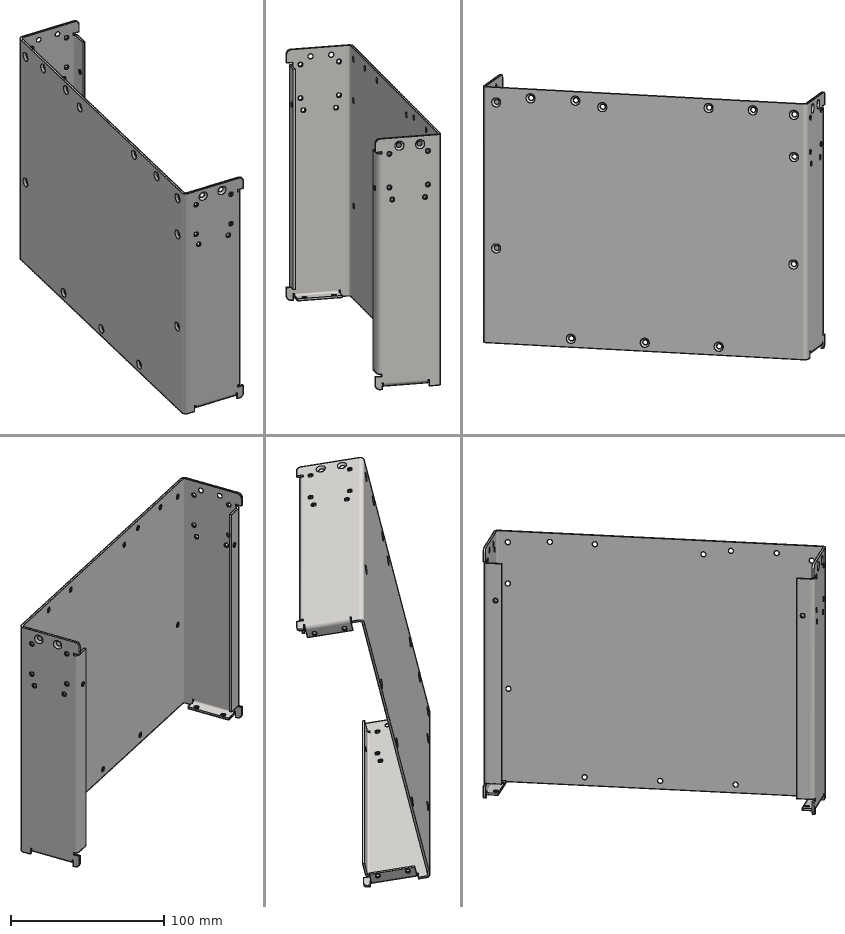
import cadquery as cq
import math

WIDTH = 219.2
DEPTH = 44.5
HEIGHT = 170.0

SHEET = 1.5
INNER_BEND = 1.3
OUTER_BEND = INNER_BEND + SHEET

LIP_REACH = 11.8
LIP_HEIGHT = 149.5
LIP_SETBACK = 1.5
EAR_HEIGHT = 8.8
EAR_RADIUS = 3.0

TAB_REACH = 9.0
TAB_LENGTH = 30.3
TAB_CENTER_Y = 1.8
TAB_SETBACK = 1.5
TAB_RELIEF = 0.9

CLEARANCE_DIAMETER = 3.3
COUNTERSINK_DIAMETER = 6.1
TAPPED_DIAMETER = 2.6
LEAD_IN_DIAMETER = 3.3
CONE_ANGLE = 90
DRILL_DEPTH = 2 * SHEET

TOP_ROW_Z = 79.1
BOTTOM_ROW_Z = -79.4
BOTTOM_ROW_PITCH = 50.0
PANEL_HOLES = [
    (-100.5, 75.2),
    (-77.2, TOP_ROW_Z),
    (-47.0, TOP_ROW_Z),
    (-28.7, 75.8),
    (43.2, TOP_ROW_Z),
    (73.0, TOP_ROW_Z),
    (100.8, 77.5),
    (100.8, 49.5),
    (-100.5, -22.0),
    (100.5, -22.0),
    (-BOTTOM_ROW_PITCH, BOTTOM_ROW_Z),
    (0, BOTTOM_ROW_Z),
    (BOTTOM_ROW_PITCH, BOTTOM_ROW_Z),
]

WALL_COUNTERSINKS = [(6.1, 79.5), (-8.0, 79.5)]
WALL_TAPPED_HOLES = [
    (13.0, 74.5),
    (-13.2, 74.5),
    (13.0, 51.7),
    (-13.2, 51.7),
    (11.0, 43.5),
    (-11.2, 43.5),
]

TAB_HOLE_X = 6.5
TAB_HOLE_YS = [11.6, -8.3]
LIP_HOLE_X = 8.0
LIP_HOLE_Z = 49.8

SIDE_X = WIDTH / 2
REAR_Y = DEPTH / 2
BOTTOM_Z = -HEIGHT / 2
LIP_BEND_Y = REAR_Y - LIP_SETBACK - OUTER_BEND
TAB_BEND_Z = BOTTOM_Z + TAB_SETBACK + OUTER_BEND


def block(x_range, y_range, z_range):
    """Box given by its low and high limits along each axis."""
    size = [high - low for low, high in (x_range, y_range, z_range)]
    corner = (x_range[0], y_range[0], z_range[0])
    return cq.Workplane("XY").box(*size, centered=False).translate(corner)


def bent_channel():
    """U-shaped channel: front panel with a wall folded back on each side."""
    outer = block((-SIDE_X, SIDE_X), (-REAR_Y, REAR_Y), (BOTTOM_Z, -BOTTOM_Z))
    outer = outer.edges("|Z and <Y").fillet(OUTER_BEND)
    inner = block(
        (-SIDE_X + SHEET, SIDE_X - SHEET),
        (-REAR_Y + SHEET, REAR_Y + SHEET),
        (BOTTOM_Z, -BOTTOM_Z),
    )
    inner = inner.edges("|Z and <Y").fillet(INNER_BEND)
    return outer.cut(inner)


def trim_walls(channel):
    """Round the rear ears and cut the clearances around the lips and tabs."""
    channel = channel.edges("|X and >Y").fillet(EAR_RADIUS)
    ear_z = HEIGHT / 2 - EAR_HEIGHT
    lip_notch = block((-SIDE_X, SIDE_X), (LIP_BEND_Y, REAR_Y), (-ear_z, ear_z))
    notch_half = TAB_LENGTH / 2 + TAB_RELIEF
    tab_notch = block(
        (-SIDE_X, SIDE_X),
        (TAB_CENTER_Y - notch_half, TAB_CENTER_Y + notch_half),
        (BOTTOM_Z, TAB_BEND_Z),
    )
    return channel.cut(lip_notch).cut(tab_notch)


def folded_flange(plane, reach, length):
    """Quarter bend and flat strip, starting at the origin on the wall's outer face.

    The wall ends on the local x axis, the strip runs along +x, the fold goes toward
    +y and the section is extruded symmetrically over its length.
    """
    mid = math.sqrt(0.5)
    return (
        cq.Workplane(plane)
        .threePointArc((OUTER_BEND * (1 - mid), OUTER_BEND * mid), (OUTER_BEND, OUTER_BEND))
        .lineTo(reach, OUTER_BEND)
        .lineTo(reach, INNER_BEND)
        .lineTo(OUTER_BEND, INNER_BEND)
        .threePointArc((OUTER_BEND - INNER_BEND * mid, INNER_BEND * mid), (SHEET, 0))
        .close()
        .extrude(length / 2, both=True)
    )


def tapped_hole_cutter(origin, normal):
    """Hole through one sheet thickness, widened by a lead-in cone at both faces.

    The origin is the center of the hole on one face and the normal points into the sheet.
    """
    lead_in = (LEAD_IN_DIAMETER - TAPPED_DIAMETER) / 2
    section = [
        (0, 0),
        (LEAD_IN_DIAMETER / 2, 0),
        (TAPPED_DIAMETER / 2, lead_in),
        (TAPPED_DIAMETER / 2, SHEET - lead_in),
        (LEAD_IN_DIAMETER / 2, SHEET),
        (0, SHEET),
    ]
    cutter = cq.Workplane("XZ").polyline(section).close().revolve(360, (0, 0), (0, 1))
    return cq.Workplane(cutter.val().moved(cq.Plane(origin=origin, normal=normal).location))


def left_lip():
    """Rear lip of the left wall with its tapped hole."""
    plane = cq.Plane(origin=(-SIDE_X, LIP_BEND_Y, 0), xDir=(1, 0, 0), normal=(0, 0, 1))
    lip = folded_flange(plane, LIP_REACH, LIP_HEIGHT)
    hole_center = (-SIDE_X + LIP_HOLE_X, REAR_Y - LIP_SETBACK, LIP_HOLE_Z)
    return lip.cut(tapped_hole_cutter(hole_center, (0, -1, 0)))


def left_tab():
    """Bottom tab of the left wall with its two tapped holes."""
    plane = cq.Plane(origin=(-SIDE_X, TAB_CENTER_Y, TAB_BEND_Z), xDir=(1, 0, 0), normal=(0, 1, 0))
    tab = folded_flange(plane, TAB_REACH, TAB_LENGTH)
    for y in TAB_HOLE_YS:
        hole_center = (-SIDE_X + TAB_HOLE_X, y, BOTTOM_Z + TAB_SETBACK)
        tab = tab.cut(tapped_hole_cutter(hole_center, (0, 0, 1)))
    return tab


def drill_panel(body):
    """Countersunk holes entering the front panel from outside."""
    return (
        body.copyWorkplane(cq.Workplane("XZ", origin=(0, -REAR_Y, 0)))
        .pushPoints(PANEL_HOLES)
        .cskHole(CLEARANCE_DIAMETER, COUNTERSINK_DIAMETER, CONE_ANGLE, depth=DRILL_DEPTH)
    )


def drill_walls(body):
    """Countersunk and tapped holes, repeated in both side walls."""
    for side in (-1, 1):
        outside = cq.Plane(origin=(side * SIDE_X, 0, 0), xDir=(0, side, 0), normal=(side, 0, 0))
        body = (
            body.copyWorkplane(cq.Workplane(outside))
            .pushPoints([(side * y, z) for y, z in WALL_COUNTERSINKS])
            .cskHole(CLEARANCE_DIAMETER, COUNTERSINK_DIAMETER, CONE_ANGLE, depth=DRILL_DEPTH)
        )
        for y, z in WALL_TAPPED_HOLES:
            body = body.cut(tapped_hole_cutter((side * SIDE_X, y, z), (-side, 0, 0)))
    return body


left_flanges = left_lip().union(left_tab())
result = trim_walls(bent_channel())
result = result.union(left_flanges).union(left_flanges.mirror("YZ"))
result = drill_walls(drill_panel(result))